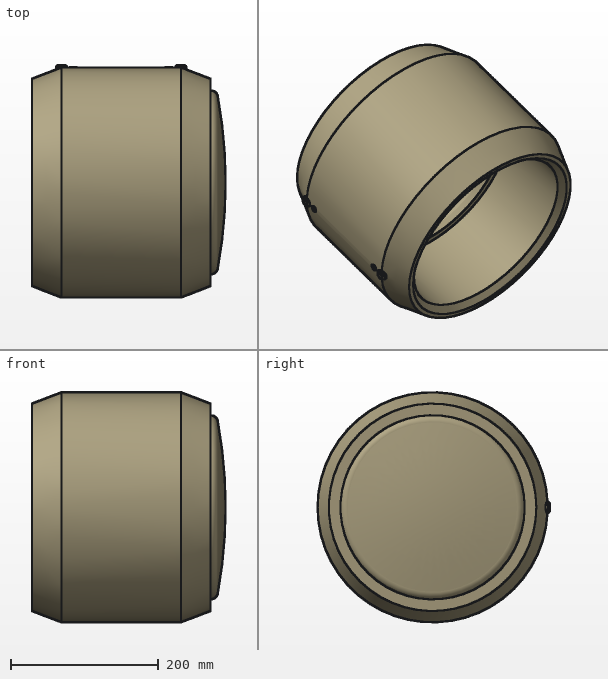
import cadquery as cq

outer_radius = 156.0
end_radius = 140.5
sleeve_length = 242.2
taper_length = 40.3
bore_radius = 124.7
mouth_radius = 133.5
mouth_depth = 8.8

total_length = 262.7
cap_rim_x = 119.0
rim_bevel_depth = 8.8
shoulder_radius = 10.0
rim_bevel_radius = 114.7
cup_inner_radius = 112.8
cap_thickness = 10.0

stud_top_y = 159.0
stud_root_y = 148.0
stud_radius = 7.5
stud_chamfer = 2.5

pin_radius = 4.5
pin_height = 0.5
pin_spacing = 16.0


def make_sleeve():
    """Revolve the pipe wall, with its tapered ends and flared mouth."""
    return (
        cq.Workplane("XY")
        .moveTo(mouth_depth, bore_radius)
        .lineTo(0, mouth_radius)
        .lineTo(0, end_radius)
        .lineTo(taper_length, outer_radius)
        .lineTo(sleeve_length - taper_length, outer_radius)
        .lineTo(sleeve_length, end_radius)
        .lineTo(sleeve_length, bore_radius)
        .close()
        .revolve(360, (0, 0, 0), (1, 0, 0))
    )


def make_cap():
    """Revolve the cup wall and its dome, which has an even thickness at the axis."""
    dome_edge_x = sleeve_length + shoulder_radius
    dome_edge_radius = bore_radius - shoulder_radius
    dome_height = total_length - dome_edge_x
    sphere_radius = (dome_edge_radius**2 + dome_height**2) / (2 * dome_height)
    center_x = total_length - sphere_radius
    inner_sphere_radius = sphere_radius - cap_thickness

    def dome_point(radius, distance):
        return (center_x + (radius**2 - distance**2) ** 0.5, distance)

    return (
        cq.Workplane("XY")
        .moveTo(cap_rim_x + rim_bevel_depth, cup_inner_radius)
        .lineTo(cap_rim_x, rim_bevel_radius)
        .lineTo(cap_rim_x, bore_radius)
        .lineTo(sleeve_length, bore_radius)
        .radiusArc((dome_edge_x, dome_edge_radius), shoulder_radius)
        .threePointArc(dome_point(sphere_radius, dome_edge_radius / 2), (total_length, 0))
        .lineTo(total_length - cap_thickness, 0)
        .threePointArc(
            dome_point(inner_sphere_radius, cup_inner_radius / 2),
            dome_point(inner_sphere_radius, cup_inner_radius),
        )
        .close()
        .revolve(360, (0, 0, 0), (1, 0, 0))
    )


def make_post(x, radius, top_y):
    """Round post along +Y, rooted in the sleeve wall."""
    root = cq.Vector(x, stud_root_y, 0)
    return cq.Workplane(cq.Solid.makeCylinder(radius, top_y - stud_root_y, root, cq.Vector(0, 1, 0)))


result = make_sleeve().union(make_cap())
for stud_x, inward in ((taper_length, 1), (sleeve_length - taper_length, -1)):
    stud = make_post(stud_x, stud_radius, stud_top_y).faces(">Y").chamfer(stud_chamfer)
    pin = make_post(stud_x + inward * pin_spacing, pin_radius, outer_radius + pin_height)
    result = result.union(stud).union(pin)